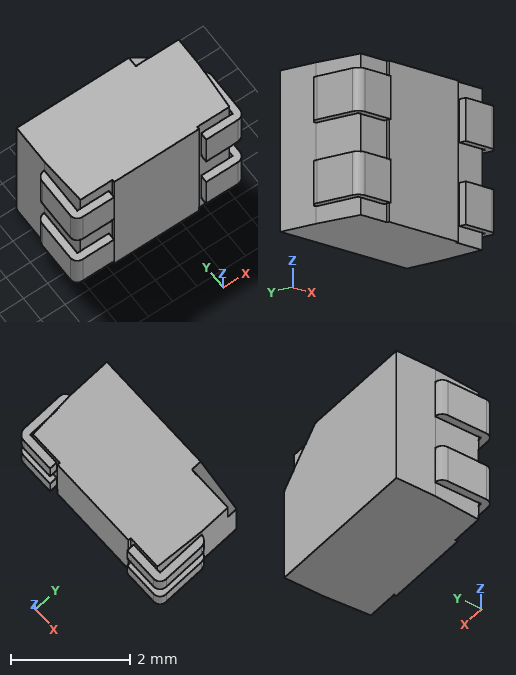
import cadquery as cq

body_width = 3.2
body_height = 2.8
body_depth = 1.8
straight_depth = 0.8
side_taper = 0.065
pad_width = 1.75
pad_rise = 0.05

mark_leg = 0.885
mark_depth = 0.2

lead_thickness = 0.15
lead_height = 0.75
lead_pitch = 1.45
foot_length = 0.8

half_width = body_width / 2
seat_y = pad_rise - body_depth
lead_outer_x = half_width + lead_thickness
lead_outer_y = seat_y - lead_thickness


def make_body():
    """Tapered prism with a slightly raised central pad."""
    half_pad = pad_width / 2
    half_seat = half_width - side_taper
    return (
        cq.Workplane("XY")
        .workplane(offset=-body_height / 2)
        .moveTo(-half_width, 0)
        .lineTo(-half_width, -straight_depth)
        .lineTo(-half_seat, seat_y)
        .lineTo(-half_pad, seat_y)
        .lineTo(-half_pad, -body_depth)
        .lineTo(half_pad, -body_depth)
        .lineTo(half_pad, seat_y)
        .lineTo(half_seat, seat_y)
        .lineTo(half_width, -straight_depth)
        .lineTo(half_width, 0)
        .close()
        .extrude(body_height)
    )


def make_corner_mark():
    """Triangular prism that bevels the +X, +Z corner just behind the back face."""
    top_z = body_height / 2
    return (
        cq.Workplane("XZ")
        .moveTo(half_width - mark_leg, top_z)
        .lineTo(half_width, top_z)
        .lineTo(half_width, top_z - mark_leg)
        .close()
        .extrude(mark_depth)
    )


def make_lead(center_z):
    """L-shaped terminal on the +X side, rounded at its upright tip and outer bend."""
    radius = lead_thickness
    return (
        cq.Workplane("XY")
        .workplane(offset=center_z - lead_height / 2)
        .moveTo(half_width, -straight_depth)
        .radiusArc((lead_outer_x, -straight_depth - radius), radius)
        .lineTo(lead_outer_x, lead_outer_y + radius)
        .radiusArc((lead_outer_x - radius, lead_outer_y), radius)
        .lineTo(lead_outer_x - foot_length, lead_outer_y)
        .lineTo(lead_outer_x - foot_length, seat_y)
        .lineTo(half_width, seat_y)
        .close()
        .extrude(lead_height)
    )


result = make_body().cut(make_corner_mark())
for lead_z in (-lead_pitch / 2, lead_pitch / 2):
    right_lead = make_lead(lead_z)
    result = result.union(right_lead).union(right_lead.mirror("YZ"))